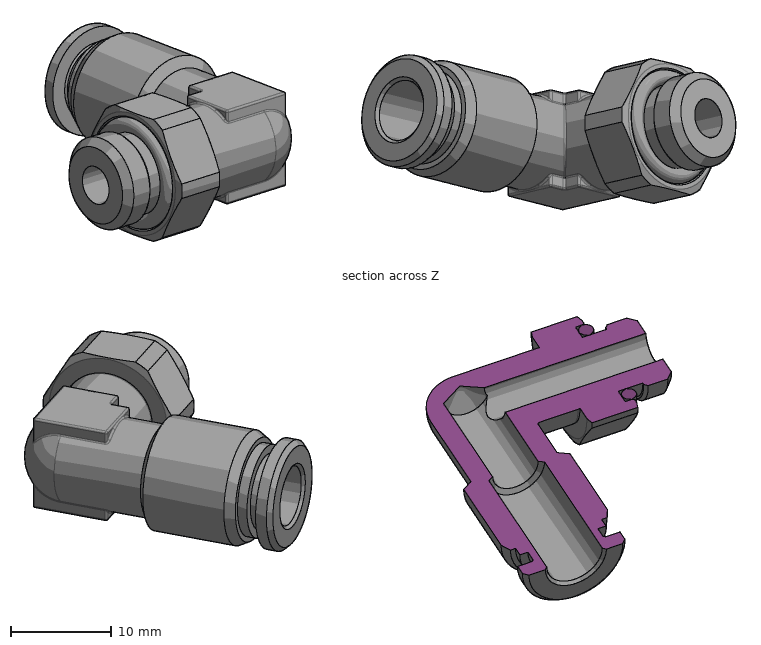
import cadquery as cq
import math


stud_x = 23.8
leg_radius = 4.8

collar_radius = 5.7
collar_chamfer = 0.5
collar_end_x = 1.67
collar_neck_radius = 3.9
collar_neck_chamfer = 0.2
lip_x = 2.97
housing_x = 4.0
housing_nose_radius = 5.35
housing_radius = 5.9
housing_full_x = 5.0
housing_taper_x = 13.75
housing_end_x = 14.45

socket_radius = 3.05
socket_mouth_chamfer = 0.3
socket_depth = 13.75
tube_bore_radius = 2.5
tube_bore_past_axis = 1.73
drill_point_angle = 118.0
stud_bore_radius = 1.98

leg_taper_d = 9.27
leg_taper = 0.03
hex_start_d = 9.5
hex_end_d = 15.02
hex_sides = 6
hex_across_flats = 13.0
hex_corner_radius = 7.1
hex_face_radius = 6.35
hex_chamfer_height = 0.22

stud_neck_radius = 4.23
stud_start_d = 16.7
stud_end_d = 20.0
stud_radius = leg_radius
stud_back_chamfer = 0.35
stud_tip_chamfer = 0.8

ring_section_radius = 0.77
ring_centre_radius = stud_neck_radius + ring_section_radius
ring_protrusion = 0.55
ring_centre_d = hex_end_d + ring_protrusion - ring_section_radius
ring_recess_radius = ring_centre_radius + ring_section_radius
ring_recess_mouth_radius = 5.93
ring_recess_d = ring_centre_d - ring_section_radius

pad_outer = 3.03
pad_inner = 5.0
pad_notch = 3.0
pad_height = 5.0
pad_fillet = 0.22
pad_root_fillet = pad_fillet
bend_fillet = 0.15
pad_root_low = 2.05
pad_root_high = leg_radius


def turned_about_tube_axis(points):
    """Revolve (x, radius) points about the X axis."""
    return cq.Workplane("XY").polyline(points).close().revolve(360, (0, 0, 0), (1, 0, 0))


def turned_about_stud_axis(points):
    """Revolve (radius, distance) points about the stud axis; distance runs along -Y."""
    placed = [(stud_x + radius, -distance) for radius, distance in points]
    profile = cq.Workplane("XY").polyline(placed).close()
    return profile.revolve(360, (stud_x, 0, 0), (stud_x, 1, 0))


def make_tube_port():
    """Release collar and wide housing."""
    return turned_about_tube_axis([
        (0, 0),
        (0, collar_radius - collar_chamfer),
        (collar_chamfer, collar_radius),
        (collar_end_x, collar_radius),
        (collar_end_x, collar_neck_radius + collar_neck_chamfer),
        (collar_end_x + collar_neck_chamfer, collar_neck_radius),
        (lip_x, collar_neck_radius),
        (lip_x, leg_radius),
        (housing_x, leg_radius),
        (housing_x, housing_nose_radius),
        (housing_full_x, housing_radius),
        (housing_taper_x, housing_radius),
        (housing_end_x, leg_radius),
        (housing_end_x, 0),
    ])


def make_bend():
    """Two round legs meeting in a ball, with the inside of the bend filleted."""
    tube_leg = cq.Workplane("YZ").circle(leg_radius).extrude(stud_x - housing_taper_x)
    tube_leg = tube_leg.translate((housing_taper_x, 0, 0))
    stud_leg = turned_about_stud_axis([
        (0, 0),
        (leg_radius, 0),
        (leg_radius, leg_taper_d),
        (leg_radius - leg_taper, hex_start_d),
        (0, hex_start_d),
    ])
    ball = cq.Workplane("XY").sphere(leg_radius).translate((stud_x, 0, 0))
    bend = tube_leg.union(stud_leg).union(ball)
    return bend.edges("%ELLIPSE").fillet(bend_fillet)


def make_pads():
    """L-shaped block whose two flat faces stand proud of the bend above and below."""
    outline = [
        (pad_outer, pad_outer),
        (-pad_inner, pad_outer),
        (-pad_inner, -pad_notch),
        (-pad_notch, -pad_notch),
        (-pad_notch, -pad_inner),
        (pad_outer, -pad_inner),
    ]
    block = cq.Workplane("XY").polyline(outline).close().extrude(pad_height, both=True)
    block = block.edges("|Z").fillet(pad_fillet).faces("|Z").edges().fillet(pad_fillet)
    return block.translate((stud_x, 0, 0))


def make_elbow():
    """Bend with both pads, blended along the line where each pad meets the legs."""
    elbow = make_bend().union(make_pads())
    for low, high in ((pad_root_low, pad_root_high), (-pad_root_high, -pad_root_low)):
        root = cq.selectors.BoxSelector(
            (stud_x - pad_inner - pad_fillet, -pad_inner - pad_fillet, low),
            (stud_x + pad_outer + pad_fillet, pad_outer + pad_fillet, high),
        )
        elbow = elbow.edges(root).edges("not |Z").fillet(pad_root_fillet)
    return elbow


def make_hexagon():
    """Hexagon with turned corners, chamfered ends and a flared recess for the sealing ring."""
    hex_height = hex_end_d - hex_start_d
    across_corners = hex_across_flats / math.cos(math.pi / hex_sides)
    prism = cq.Workplane("XZ").polygon(hex_sides, across_corners).extrude(hex_height)
    prism = prism.translate((stud_x, -hex_start_d, 0))
    envelope = turned_about_stud_axis([
        (0, hex_start_d),
        (hex_face_radius, hex_start_d),
        (hex_corner_radius, hex_start_d + hex_chamfer_height),
        (hex_corner_radius, hex_end_d - hex_chamfer_height),
        (hex_face_radius, hex_end_d),
        (0, hex_end_d),
    ])
    recess = turned_about_stud_axis([
        (0, ring_recess_d),
        (ring_recess_radius, ring_recess_d),
        (ring_recess_radius, ring_centre_d),
        (ring_recess_mouth_radius, hex_end_d),
        (0, hex_end_d),
    ])
    return prism.intersect(envelope).cut(recess)


def make_stud():
    """Relief neck and threaded stud, without thread."""
    return turned_about_stud_axis([
        (0, hex_start_d),
        (stud_neck_radius, hex_start_d),
        (stud_neck_radius, stud_start_d),
        (stud_radius - stud_back_chamfer, stud_start_d),
        (stud_radius, stud_start_d + stud_back_chamfer),
        (stud_radius, stud_end_d - stud_tip_chamfer),
        (stud_radius - stud_tip_chamfer, stud_end_d),
        (0, stud_end_d),
    ])


def make_passages():
    """Tube socket with a conical shoulder, tube bore with a drill point, and stud bore."""
    bore_end_x = stud_x + tube_bore_past_axis
    point_slope = 1 / math.tan(math.radians(drill_point_angle / 2))
    shoulder_depth = (socket_radius - tube_bore_radius) * point_slope
    point_depth = tube_bore_radius * point_slope
    tube_passage = turned_about_tube_axis([
        (0, 0),
        (0, socket_radius + socket_mouth_chamfer),
        (socket_mouth_chamfer, socket_radius),
        (socket_depth, socket_radius),
        (socket_depth + shoulder_depth, tube_bore_radius),
        (bore_end_x, tube_bore_radius),
        (bore_end_x + point_depth, 0),
    ])
    stud_passage = cq.Workplane("XZ").circle(stud_bore_radius).extrude(stud_end_d)
    return tube_passage.union(stud_passage.translate((stud_x, 0, 0)))


def make_fitting():
    """First body: tube port, elbow, hexagon and stud in one piece, bored through."""
    outside = make_tube_port().union(make_elbow())
    outside = outside.union(make_hexagon()).union(make_stud())
    return outside.cut(make_passages())


def make_sealing_ring():
    """Second body: O-ring around the stud neck, seated in the hexagon recess."""
    section = cq.Workplane("XY").center(stud_x + ring_centre_radius, -ring_centre_d)
    section = section.circle(ring_section_radius)
    return section.revolve(360, (-ring_centre_radius, 0, 0), (-ring_centre_radius, 1, 0))


fitting = make_fitting()
sealing_ring = make_sealing_ring()
result = cq.Compound.makeCompound([fitting.solids().val(), sealing_ring.val()])